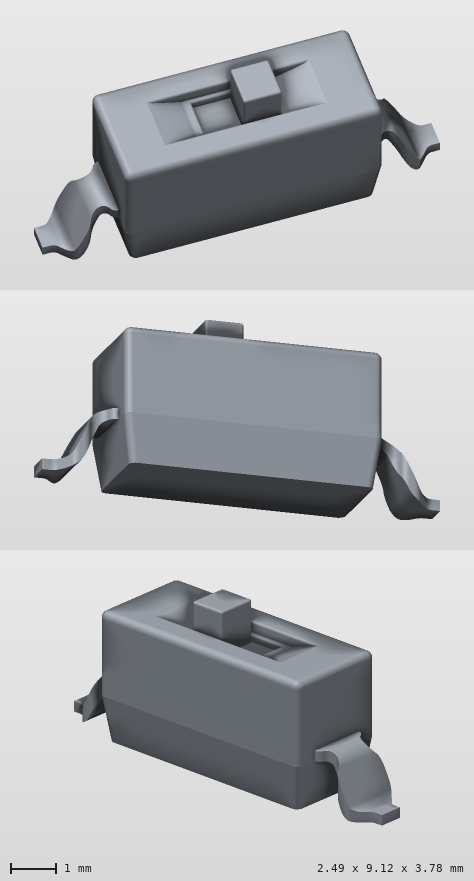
import cadquery as cq
import math

BODY_WIDTH = 2.49
BODY_LENGTH = 5.90
BODY_BOTTOM_Z = 0.09
PARTING_Z = 1.19
BODY_TOP_Z = 3.19
BODY_FILLET = 0.165
LOWER_DRAFT = 8.0

SLOT_DEPTH = 0.26
SLOT_WIDTH = 1.18
SLOT_LENGTH = 3.72
SLOT_FLOOR_LENGTH = 2.17
RIM_FILLET = 0.055

WELL_DEPTH = 0.175
WELL_WIDTH = 0.97
WELL_LENGTH = 1.76
SLIDER_LENGTH = WELL_LENGTH / 2
SLIDER_TOP_Z = 3.78
SLIDER_FILLET = 0.055

TIP_Y = 4.56
LEAD_THICKNESS = 0.25
LEAD_TOP_Z = PARTING_Z + LEAD_THICKNESS
LEAD_ROOT_DEPTH = 0.25
BEND_START_Y = 3.10
BEND_ANGLE = math.radians(63)
BEND_INNER_RADIUS = 0.25
BEND_OUTER_RADIUS = BEND_INNER_RADIUS + LEAD_THICKNESS

LEAD_HALF_WIDTH = 0.71
TIP_HALF_WIDTH = 0.29
NECK_Y = 3.335
NECK_DEPTH = 0.583
NECK_ANGLE = math.radians(65)
NECK_RADIUS = 0.24
SHOULDER_RADIUS = 0.19
TAPER_START_Y = 3.93
TAPER_ANGLE = math.radians(50)
TAPER_RADIUS = 0.21

BODY_END_Y = BODY_LENGTH / 2
LEAD_ROOT_Y = BODY_END_Y - LEAD_ROOT_DEPTH
SLOT_FLOOR_Z = BODY_TOP_Z - SLOT_DEPTH
WELL_FLOOR_Z = SLOT_FLOOR_Z - WELL_DEPTH


def make_housing():
    """Straight upper half and drafted lower half, rounded except at the bottom."""
    upper = (
        cq.Workplane("XY", origin=(0, 0, PARTING_Z))
        .rect(BODY_WIDTH, BODY_LENGTH)
        .extrude(BODY_TOP_Z - PARTING_Z)
        .edges("|Z or >Z")
        .fillet(BODY_FILLET)
    )
    lower = (
        cq.Workplane("XY", origin=(0, 0, PARTING_Z))
        .rect(BODY_WIDTH, BODY_LENGTH)
        .extrude(BODY_BOTTOM_Z - PARTING_Z, taper=LOWER_DRAFT)
        .edges("not(#Z)")
        .fillet(BODY_FILLET)
    )
    return upper.union(lower)


def cut_slot(housing):
    """Cut the slot with sloping ends and round its two long rims."""
    half_length = SLOT_LENGTH / 2
    half_floor = SLOT_FLOOR_LENGTH / 2
    slot = (
        cq.Workplane("YZ")
        .moveTo(-half_length, BODY_TOP_Z)
        .lineTo(-half_floor, SLOT_FLOOR_Z)
        .lineTo(half_floor, SLOT_FLOOR_Z)
        .lineTo(half_length, BODY_TOP_Z)
        .close()
        .extrude(SLOT_WIDTH / 2, both=True)
    )
    rims = cq.selectors.BoxSelector(
        (-SLOT_WIDTH, -half_floor, BODY_TOP_Z - RIM_FILLET),
        (SLOT_WIDTH, half_floor, BODY_TOP_Z + RIM_FILLET),
    )
    return housing.cut(slot).edges(rims).fillet(RIM_FILLET)


def cut_well(housing):
    """Cut the slider well into the slot floor and round its rim."""
    flared_width = WELL_WIDTH + 2 * RIM_FILLET
    flared_length = WELL_LENGTH + 2 * RIM_FILLET
    well = (
        cq.Workplane("XY", origin=(0, 0, WELL_FLOOR_Z))
        .rect(WELL_WIDTH, WELL_LENGTH)
        .extrude(WELL_DEPTH)
    )
    rim = cq.selectors.BoxSelector(
        (-flared_width / 2, -flared_length / 2, SLOT_FLOOR_Z - RIM_FILLET / 2),
        (flared_width / 2, flared_length / 2, SLOT_FLOOR_Z + RIM_FILLET / 2),
    )
    return housing.cut(well).edges(rim).fillet(RIM_FILLET)


def make_slider():
    """Slider knob standing in the +Y half of the well, rounded on its sides and top."""
    return (
        cq.Workplane("XY", origin=(0, SLIDER_LENGTH / 2, WELL_FLOOR_Z))
        .rect(WELL_WIDTH, SLIDER_LENGTH)
        .extrude(SLIDER_TOP_Z - WELL_FLOOR_Z)
        .edges("|Z or >Z")
        .fillet(SLIDER_FILLET)
    )


def round_corner(solid, axis, point, radius):
    """Fillet the edge parallel to the given axis that lies nearest to a point."""
    parallel = cq.selectors.ParallelDirSelector(axis)
    nearest = cq.selectors.NearestToPointSelector(point)
    return solid.edges(parallel).edges(nearest).fillet(radius)


def make_bent_strip():
    """Full-width +Y lead strip: two flats joined by a sloping web."""
    half_bend_tangent = math.tan(BEND_ANGLE / 2)
    upper_bend_y = BEND_START_Y + BEND_OUTER_RADIUS * half_bend_tangent
    lower_bend_y = upper_bend_y + (LEAD_TOP_Z - LEAD_THICKNESS) / math.tan(BEND_ANGLE)
    underside_shift = LEAD_THICKNESS * half_bend_tangent

    upper_outside = (upper_bend_y, LEAD_TOP_Z)
    lower_inside = (lower_bend_y, LEAD_THICKNESS)
    lower_outside = (lower_bend_y - underside_shift, 0)
    upper_inside = (upper_bend_y - underside_shift, LEAD_TOP_Z - LEAD_THICKNESS)
    profile = [
        (LEAD_ROOT_Y, LEAD_TOP_Z),
        upper_outside,
        lower_inside,
        (TIP_Y, LEAD_THICKNESS),
        (TIP_Y, 0),
        lower_outside,
        upper_inside,
        (LEAD_ROOT_Y, LEAD_TOP_Z - LEAD_THICKNESS),
    ]
    strip = cq.Workplane("YZ").polyline(profile).close().extrude(LEAD_HALF_WIDTH, both=True)
    bends = [
        (upper_outside, BEND_OUTER_RADIUS),
        (upper_inside, BEND_INNER_RADIUS),
        (lower_inside, BEND_INNER_RADIUS),
        (lower_outside, BEND_OUTER_RADIUS),
    ]
    for (y, z), radius in bends:
        strip = round_corner(strip, cq.Vector(1, 0, 0), (0, y, z), radius)
    return strip


def make_lead_outline():
    """Tall prism of the +Y lead's plan outline: necked, then tapering to the tip."""
    taper_end_y = TAPER_START_Y + (LEAD_HALF_WIDTH - TIP_HALF_WIDTH) / math.tan(TAPER_ANGLE)
    neck_half_length = NECK_DEPTH / math.tan(NECK_ANGLE)
    rounded_corners = [
        (LEAD_HALF_WIDTH, NECK_Y - neck_half_length, SHOULDER_RADIUS),
        (LEAD_HALF_WIDTH - NECK_DEPTH, NECK_Y, NECK_RADIUS),
        (LEAD_HALF_WIDTH, NECK_Y + neck_half_length, SHOULDER_RADIUS),
        (LEAD_HALF_WIDTH, TAPER_START_Y, TAPER_RADIUS),
        (TIP_HALF_WIDTH, taper_end_y, TAPER_RADIUS),
    ]
    right_side = [(LEAD_HALF_WIDTH, LEAD_ROOT_Y)]
    right_side += [(x, y) for x, y, _ in rounded_corners]
    right_side.append((TIP_HALF_WIDTH, TIP_Y))
    left_side = [(-x, y) for x, y in reversed(right_side)]
    prism = cq.Workplane("XY").polyline(right_side + left_side).close().extrude(LEAD_TOP_Z)
    for x, y, radius in rounded_corners:
        for side in (-1, 1):
            corner = (side * x, y, LEAD_TOP_Z / 2)
            prism = round_corner(prism, cq.Vector(0, 0, 1), corner, radius)
    return prism


housing = cut_well(cut_slot(make_housing()))
lead = make_bent_strip().intersect(make_lead_outline())
opposite_lead = lead.mirror("XZ")
result = housing.union(make_slider()).union(lead).union(opposite_lead)